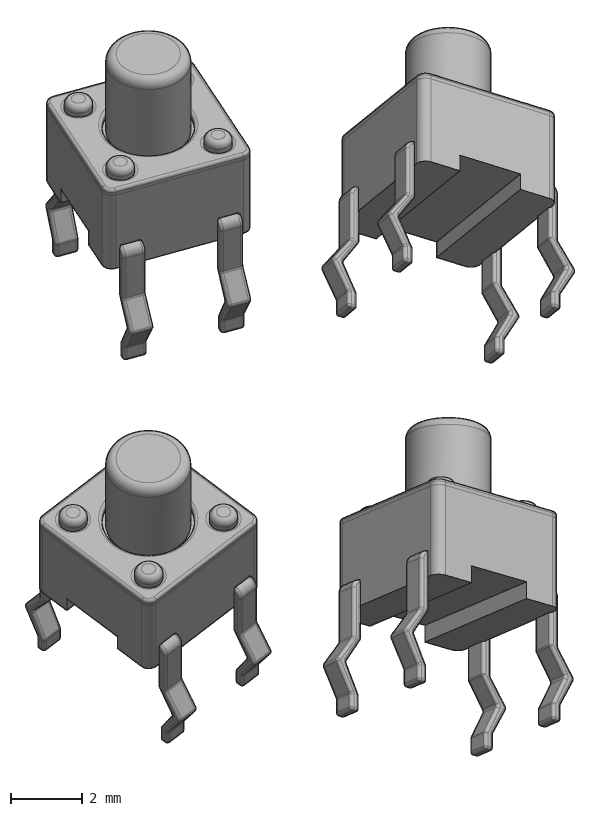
import cadquery as cq


housing_side = 4.5
housing_bottom = 3.2
housing_top = 6.1
cap_thickness = 0.2
corner_radius = 0.3
edge_radius = 0.1
notch_width = 2.0
notch_height = 0.505

plunger_diameter = 2.4
plunger_bore = 2.6
plunger_top = 8.7
plunger_radius = 0.3

rivet_diameter = 0.8
rivet_height = 0.3
rivet_radius = 0.2
corner_offset = 1.5

leg_thickness = 0.3
leg_width = 0.71
leg_edge_radius = 0.1
leg_outer_x = 2.505
leg_top = 4.0
shoulder_radius = 0.29
upper_bend_z = 2.21
kink_x = 3.1
kink_width = 0.34
kink_z = 1.4
lower_bend_z = 0.505
tip_outer_x = 2.59

cap_bottom = housing_top - cap_thickness
corner_points = [(x, y) for x in (-corner_offset, corner_offset) for y in (-corner_offset, corner_offset)]


def rounded_block(bottom, top):
    """Square block with rounded vertical corners."""
    return (
        cq.Workplane("XY", origin=(0, 0, bottom))
        .rect(housing_side, housing_side)
        .extrude(top - bottom)
        .edges("|Z")
        .fillet(corner_radius)
    )


def make_cap():
    """Thin top of the housing: bored for plunger and rivets, every top edge rounded."""
    bores = (
        cq.Workplane("XY", origin=(0, 0, cap_bottom))
        .circle(plunger_bore / 2)
        .extrude(cap_thickness)
        .pushPoints(corner_points)
        .circle(rivet_diameter / 2)
        .extrude(cap_thickness)
    )
    cap = rounded_block(cap_bottom, housing_top).cut(bores)
    return cap.faces(">Z").edges().fillet(edge_radius)


def make_housing(legs):
    """Box with its cap, a notch along Y underneath and a seat for each leg."""
    notch = (
        cq.Workplane("XY", origin=(0, 0, housing_bottom))
        .rect(notch_width, housing_side)
        .extrude(notch_height)
    )
    housing = rounded_block(housing_bottom, cap_bottom).cut(notch)
    housing = housing.union(make_cap(), clean=False)
    for leg in legs:
        housing = housing.cut(leg, clean=False)
    return housing


def make_pin(x, y, diameter, top, top_radius):
    """Round pin with a rounded top edge, standing on the floor of its bore."""
    return (
        cq.Workplane("XY", origin=(x, y, cap_bottom))
        .circle(diameter / 2)
        .extrude(top - cap_bottom)
        .faces(">Z")
        .edges()
        .fillet(top_radius)
    )


def make_leg(on_left, y):
    """Kinked strip that rises along one X side of the housing; on the -X side if on_left."""
    outer_side = [
        (tip_outer_x, 0),
        (tip_outer_x, lower_bend_z),
        (kink_x, kink_z),
        (leg_outer_x, upper_bend_z),
        (leg_outer_x, leg_top),
    ]
    inner_side = [
        (leg_outer_x - leg_thickness, leg_top),
        (leg_outer_x - leg_thickness, upper_bend_z),
        (kink_x - kink_width, kink_z),
        (tip_outer_x - leg_thickness, lower_bend_z),
        (tip_outer_x - leg_thickness, 0),
    ]
    strip = (
        cq.Workplane("XZ", origin=(0, leg_width / 2, 0))
        .polyline(outer_side + inner_side)
        .close()
        .extrude(leg_width)
    )
    strip = strip.faces(">Z").edges(">X").fillet(shoulder_radius)
    strip = strip.faces("not >Z").edges("not >Z").fillet(leg_edge_radius)
    if on_left:
        strip = strip.mirror("YZ")
    return strip.translate((0, y, 0))


legs = [make_leg(x < 0, y) for x, y in corner_points]
housing = make_housing(legs)
plunger = make_pin(0, 0, plunger_diameter, plunger_top, plunger_radius)
rivets = [make_pin(x, y, rivet_diameter, housing_top + rivet_height, rivet_radius) for x, y in corner_points]

result = cq.Compound.makeCompound(
    [housing.val(), plunger.val(), *[rivet.val() for rivet in rivets], *[leg.val() for leg in legs]]
)